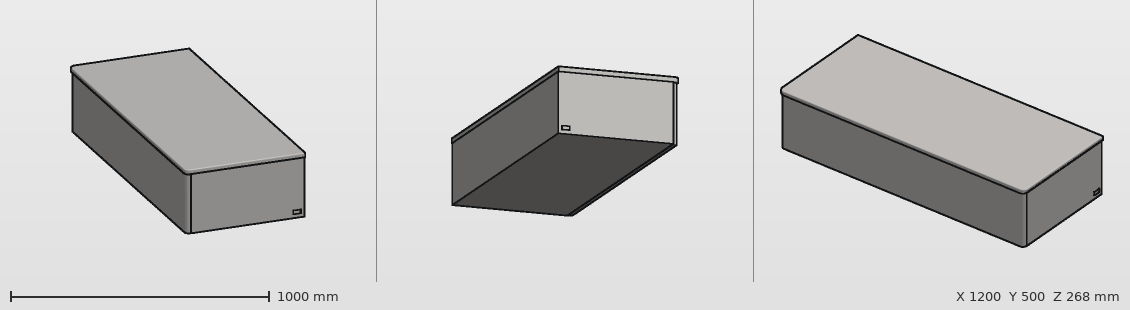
import cadquery as cq

length = 1200.0
depth = 500.0
height = 268.0

top_thickness = 20.0
top_corner_radius = 24.0
top_upper_round = 5.0
top_lower_round = 4.0

overhang = 6.0
front_thickness = 19.0
front_gap = 1.0
front_top_gap = 2.0
front_bottom_round = 1.0

cap_slot_length = 32.0
cap_height = 15.0
cap_depth = 6.0
cap_back_offset = 15.0
cap_bottom_offset = 17.0
cap_slot_gap = 2.0

back_y = depth / 2
cabinet_height = height - top_thickness
cabinet_length = length - 2 * overhang
front_y = -depth / 2 + overhang
front_corner_radius = top_corner_radius - overhang
carcass_front_y = front_y + front_thickness + front_gap
cap_slot_back_y = back_y - cap_back_offset


def block(size_x, y_min, y_max, z_min, z_max):
    """Box centred on x = 0 between the given y and z limits."""
    return (
        cq.Workplane("XY")
        .box(size_x, y_max - y_min, z_max - z_min, centered=(True, False, False))
        .translate((0, y_min, z_min))
    )


def make_countertop():
    """Slab with rounded front corners and rounded front and side edges."""
    slab = block(length, -depth / 2, back_y, cabinet_height, height)
    slab = slab.edges("|Z and <Y").fillet(top_corner_radius)
    slab = slab.faces(">Z").edges("not >Y").fillet(top_upper_round)
    return slab.faces("<Z").edges("not >Y").fillet(top_lower_round)


def make_front():
    """Drawer front with rounded corners and a softened bottom edge."""
    panel = block(cabinet_length, front_y, front_y + front_thickness, 0, cabinet_height - front_top_gap)
    panel = panel.edges("|Z and <Y").fillet(front_corner_radius)
    return panel.faces("<Z").edges("not >Y").fillet(front_bottom_round)


def make_side_insert(side, y_max):
    """Block flush with the cabinet side, ending at y_max; side is -1 or 1."""
    outer_x = side * cabinet_length / 2
    y_min = cap_slot_back_y - cap_slot_length
    z_max = cap_bottom_offset + cap_height
    insert = block(cap_depth, y_min, y_max, cap_bottom_offset, z_max)
    return insert.translate((outer_x - side * cap_depth / 2, 0, 0))


def make_cap(side):
    """Cover cap that leaves a narrow finger gap at the rear of its slot."""
    return make_side_insert(side, cap_slot_back_y - cap_slot_gap)


def make_carcass():
    """Cabinet body with a slot for a cap in each side."""
    carcass = block(cabinet_length, carcass_front_y, back_y, 0, cabinet_height)
    for side in sides:
        carcass = carcass.cut(make_side_insert(side, cap_slot_back_y))
    return carcass


sides = (-1, 1)
countertop = make_countertop()
front = make_front()
carcass = make_carcass()
caps = [make_cap(side) for side in sides]

result = cq.Compound.makeCompound(
    [countertop.val(), front.val(), carcass.val(), *[cap.val() for cap in caps]]
)